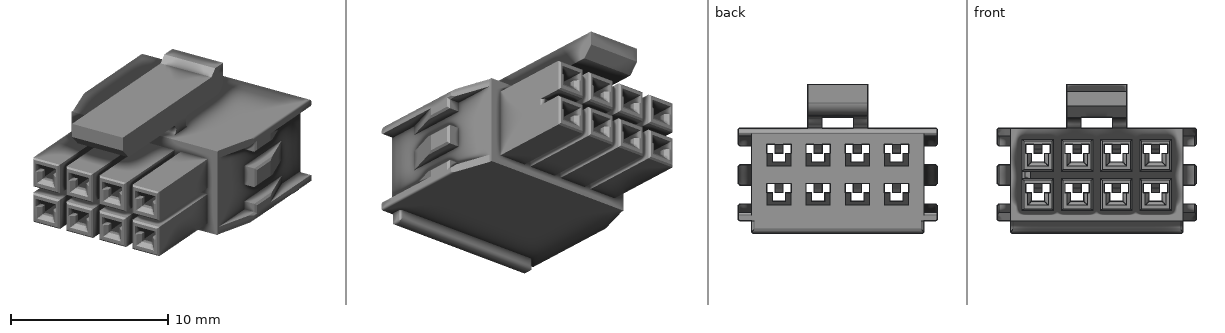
import cadquery as cq


total_length = 15.7
total_width = 12.7
housing_width = 10.99
housing_length = 9.86
housing_height = 5.9
center_z = 2.92

flange_thickness = 0.52
flange_straight_length = 6.88
flange_taper_end = 9.69
flange_rear_radius = 0.36
flange_side_radius = 0.14
flange_inner_radius = 0.14

clip_height = 1.32
clip_gap = 1.18
clip_rear = 2.2
clip_ramp_end = 4.88
clip_front = 6.63
clip_chamfer = 0.13

lip_length = 0.86
lip_height = 0.82
lip_round = 0.3
lip_edge_round = 0.17

columns = 4
pitch = 2.5
tower_width = 2.01
tower_height = 2.05
tower_chamfer = 0.11
tower_top_z = 5.18

cavity_width = 1.54
cavity_top = 0.69
slot_bottom = 0.13
throat_width = 0.82
throat_floor = -0.42
taper_depth = 0.25
throat_length = 0.31

lance_width = 0.53
lance_height = 0.57
lance_step_height = 0.28
lance_front = 4.71
lance_step_length = 0.63
lance_length = 3.14

rib_width = 0.52
rib_setback = 1.7
rib_chamfer = 0.17

latch_width = 3.83
latch_leg_width = 0.93
latch_rear = 3.52
latch_front = 15.46
latch_hook_flat_end = 4.47
latch_hook_slope_end = 4.91
latch_hook_top = housing_height + 2.78
latch_top = latch_hook_top - 0.45
latch_rear_bottom = housing_height + 0.8
latch_front_bottom = housing_height + 0.68
latch_rear_radius = 0.78
latch_tip_slope_length = 0.68
latch_tip_slope_height = 0.72
stem_rear = 7.95
stem_front = 9.1
stem_rear_round = 0.2

half_width = total_width / 2
housing_half = housing_width / 2
tower_length = total_length - housing_length
column_xs = [(i - (columns - 1) / 2) * pitch for i in range(columns)]
row_zs = [center_z - pitch / 2, center_z + pitch / 2]


def block(x_range, y_range, z_range):
    """Axis-aligned box spanning the given (low, high) ranges."""
    size = [high - low for low, high in (x_range, y_range, z_range)]
    low_corner = (x_range[0], y_range[0], z_range[0])
    return cq.Workplane("XY").box(*size, centered=False).translate(low_corner)


def extrude_z(points, z_low, z_high):
    """Extrude a closed (x, y) outline from z_low to z_high."""
    return cq.Workplane("XY", origin=(0, 0, z_low)).polyline(points).close().extrude(z_high - z_low)


def on_both_sides(solid):
    """Add the mirror image across the X = 0 plane."""
    return solid.union(solid.mirror("YZ"))


def flange_plate(rounded_rear):
    """Full-width plate whose outer face is at its top; its free edges are rounded and its front tapers."""
    blank = block((-half_width, half_width), (-housing_length, 0), (-flange_thickness, 0))
    rounded_sides = blank.edges("|Y and >Z").fillet(flange_side_radius)
    rear = blank.edges("|X and >Y and <Z").fillet(flange_inner_radius)
    if rounded_rear:
        rear = rear.edges("|X and >Y and >Z").fillet(flange_rear_radius)
    plate = rounded_sides.intersect(rear)

    taper = extrude_z(
        [
            (half_width, -flange_straight_length),
            (housing_half, -flange_taper_end),
            (housing_half, -housing_length),
            (half_width, -housing_length),
        ],
        -flange_thickness,
        0,
    )
    bevel = (
        cq.Workplane("XZ", origin=(0, clip_chamfer - clip_front, 0))
        .moveTo(half_width, -flange_thickness)
        .lineTo(half_width, clip_chamfer - flange_thickness)
        .lineTo(half_width - clip_chamfer, -flange_thickness)
        .close()
        .extrude(housing_length - clip_front)
    )
    return plate.cut(on_both_sides(taper)).cut(on_both_sides(bevel))


def housing():
    top = flange_plate(True).translate((0, 0, housing_height))
    bottom = flange_plate(False).mirror("XY")
    core = block(
        (-housing_half, housing_half),
        (-housing_length, 0),
        (flange_thickness / 2, housing_height - flange_rear_radius),
    )
    return core.union(top).union(bottom)


def side_clip(z_low, z_high):
    """Pair of ramped clips with bevelled outer edges."""
    plan = extrude_z(
        [
            (housing_half, -clip_rear),
            (half_width, -clip_ramp_end),
            (half_width, -clip_front),
            (housing_half, -clip_front),
        ],
        z_low,
        z_high,
    )
    bevelled = (
        block((housing_half, half_width), (-clip_front, 0), (z_low, z_high))
        .faces(">X")
        .edges("|Y or <Y")
        .chamfer(clip_chamfer)
    )
    return on_both_sides(plan.intersect(bevelled))


def rear_lip():
    """Bar below the rear edge; its roundings meet in mitres at the corners."""
    blank = block((-housing_half, housing_half), (-lip_length, 0), (-lip_height, 0))
    long_edges = blank.edges("|X and <Z").fillet(lip_round)
    end_edges = blank.edges("|Y and <Z").fillet(lip_edge_round)
    upright_edges = blank.edges("|Z").fillet(lip_edge_round)
    return long_edges.intersect(end_edges).intersect(upright_edges)


def tower(x, z):
    body = (
        cq.Workplane("XY")
        .box(tower_width, tower_length, tower_height)
        .faces("<Y")
        .chamfer(tower_chamfer)
        .translate((x, tower_length / 2 - total_length, z))
    )
    height_limit = block(
        (x - tower_width, x + tower_width),
        (-total_length, -housing_length),
        (0, tower_top_z),
    )
    return body.intersect(height_limit)


def tower_rib():
    """Bevelled web between the two left-most towers."""
    left = column_xs[0] - tower_width / 2
    front = rib_setback - total_length
    outline = [
        (left, -housing_length),
        (left, front + rib_chamfer),
        (left + rib_chamfer, front),
        (left + rib_width, front),
        (left + rib_width, -housing_length),
    ]
    return extrude_z(outline, row_zs[0], row_zs[1])


def lance():
    """Tongue with a step in its front face."""
    front = lance_front - total_length
    step = front + lance_step_length
    rear = front + lance_length
    half = lance_width / 2
    bottom = cavity_top - lance_height
    step_z = cavity_top - lance_step_height
    upper = block((-half, half), (front, rear), (step_z, cavity_top))
    lower = block((-half, half), (step, rear), (bottom, step_z))
    return upper.union(lower)


def cavity():
    """Through opening: a wide slot over a tapered throat, opening out to full width behind it."""
    wide = cavity_width / 2
    narrow = throat_width / 2
    entry = narrow + taper_depth
    entry_floor = throat_floor - taper_depth
    throat_end = taper_depth + throat_length - total_length

    slot = block((-wide, wide), (-total_length, 0), (slot_bottom, cavity_top))
    throat = block((-narrow, narrow), (-total_length, throat_end), (throat_floor, slot_bottom))
    rear = block((-wide, wide), (throat_end, 0), (entry_floor, slot_bottom))
    funnel = (
        cq.Workplane("XZ", origin=(0, taper_depth - total_length, slot_bottom))
        .rect(2 * narrow, 2 * (slot_bottom - throat_floor))
        .workplane(offset=taper_depth)
        .rect(2 * entry, 2 * (slot_bottom - entry_floor))
        .loft(ruled=True)
        .intersect(block((-entry, entry), (-total_length, 0), (entry_floor, slot_bottom)))
    )
    return slot.union(throat).union(rear).union(funnel).cut(lance())


def latch():
    """Lever arm on two legs, with a hook at its rear end."""
    stem_front_round = (latch_front_bottom - housing_height) / 2
    arm = (
        cq.Workplane("YZ", origin=(-latch_width / 2, 0, 0))
        .moveTo(-latch_rear, latch_hook_top)
        .lineTo(-latch_hook_flat_end, latch_hook_top)
        .lineTo(-latch_hook_slope_end, latch_top)
        .lineTo(-latch_front, latch_top)
        .lineTo(-latch_front, latch_front_bottom + latch_tip_slope_height)
        .lineTo(-latch_front + latch_tip_slope_length, latch_front_bottom)
        .lineTo(-stem_front - stem_front_round, latch_front_bottom)
        .threePointArc(
            (-stem_front, housing_height + stem_front_round),
            (-stem_front - stem_front_round, housing_height),
        )
        .lineTo(-stem_rear + stem_rear_round, housing_height)
        .radiusArc((-stem_rear, housing_height + stem_rear_round), stem_rear_round)
        .lineTo(-stem_rear, latch_rear_bottom - stem_rear_round)
        .radiusArc((-stem_rear + stem_rear_round, latch_rear_bottom), stem_rear_round)
        .lineTo(-latch_rear - latch_rear_radius, latch_rear_bottom)
        .radiusArc((-latch_rear, latch_rear_bottom + latch_rear_radius), -latch_rear_radius)
        .close()
        .extrude(latch_width)
    )
    opening_half = latch_width / 2 - latch_leg_width
    opening = block(
        (-opening_half, opening_half),
        (-housing_length, -latch_rear - latch_rear_radius),
        (housing_height, latch_front_bottom),
    )
    return arm.cut(opening)


clip_low = center_z - clip_height / 2
clip_high = center_z + clip_height / 2

result = housing().union(rear_lip()).union(latch())

result = result.union(side_clip(clip_low, clip_high))
result = result.union(side_clip(flange_thickness / 2, clip_low - clip_gap))
result = result.union(side_clip(clip_high + clip_gap, housing_height - flange_thickness / 2))

cavity_shape = cavity()
result = result.union(tower_rib())
for row_z in row_zs:
    for column_x in column_xs:
        result = result.union(tower(column_x, row_z))
for row_z in row_zs:
    for column_x in column_xs:
        result = result.cut(cavity_shape.translate((column_x, 0, row_z)))